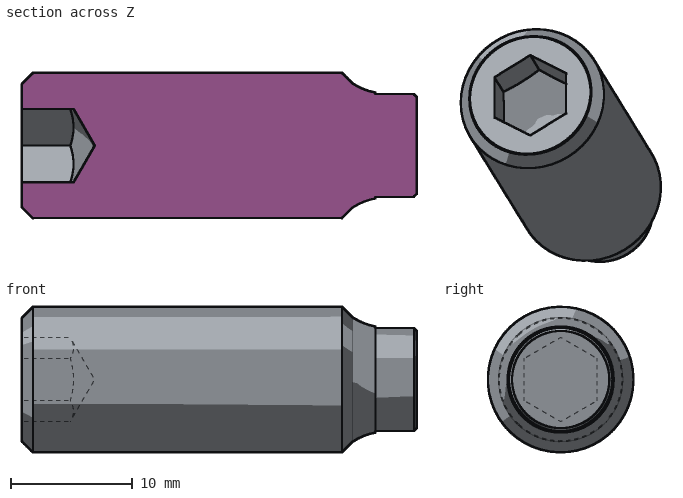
import cadquery as cq
import math

total_length = 32.5
body_diameter = 12.0

body_chamfer = 0.88

rim_bevel_length = 0.04
rim_bevel_height = 0.08

neck_length = 2.75
neck_end_diameter = 8.75
neck_arc_radius = 5.0

point_diameter = 8.5
point_length = 3.4
point_chamfer = 0.25

socket_sides = 6
socket_width = 6.0
socket_depth = 4.0
drill_tip_angle = 120.0

body_radius = body_diameter / 2
chamfered_radius = body_radius - body_chamfer
neck_end_radius = neck_end_diameter / 2
point_radius = point_diameter / 2
neck_end_x = total_length - point_length
body_end_x = neck_end_x - neck_length
neck_arc_start_x = body_end_x + body_chamfer


def make_screw_blank():
    """Revolve the half profile about X; the neck starts as a chamfer and ends in a concave arc."""
    profile = (
        cq.Workplane("XY")
        .lineTo(0, chamfered_radius - rim_bevel_height)
        .lineTo(rim_bevel_length, chamfered_radius)
        .lineTo(rim_bevel_length + body_chamfer, body_radius)
        .lineTo(body_end_x, body_radius)
        .lineTo(neck_arc_start_x, chamfered_radius)
        .radiusArc((neck_end_x, neck_end_radius), -neck_arc_radius)
        .lineTo(neck_end_x, point_radius)
        .lineTo(total_length - point_chamfer, point_radius)
        .lineTo(total_length, point_radius - point_chamfer)
        .lineTo(total_length, 0)
        .close()
    )
    return profile.revolve(360, (0, 0, 0), (1, 0, 0))


def make_socket():
    """Hexagonal prism with two flats facing +Y and -Y, ending in a drill-tip cone."""
    half_side_angle = 180 / socket_sides
    socket_corner_radius = socket_width / 2 / math.cos(math.radians(half_side_angle))
    tip_depth = socket_corner_radius / math.tan(math.radians(drill_tip_angle / 2))
    prism = (
        cq.Workplane("YZ")
        .polygon(socket_sides, 2 * socket_corner_radius)
        .extrude(socket_depth + tip_depth)
        .rotate((0, 0, 0), (1, 0, 0), half_side_angle)
    )
    drill = (
        cq.Workplane("XY")
        .lineTo(0, socket_corner_radius)
        .lineTo(socket_depth, socket_corner_radius)
        .lineTo(socket_depth + tip_depth, 0)
        .close()
        .revolve(360, (0, 0, 0), (1, 0, 0))
    )
    return prism.intersect(drill)


result = make_screw_blank().cut(make_socket())